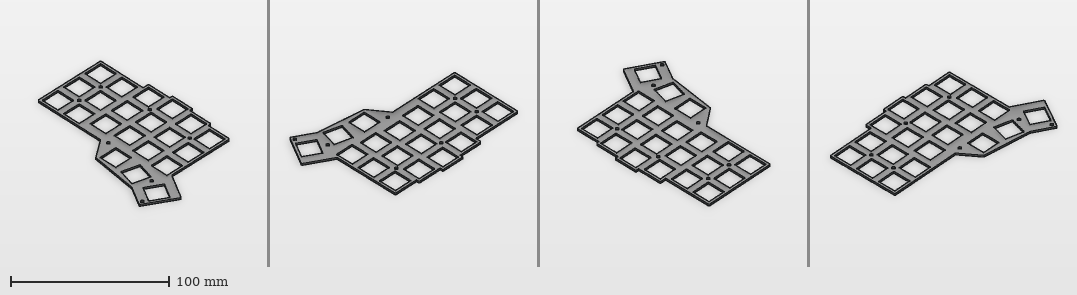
import cadquery as cq
import math

thickness = 1.6
key_pitch = 19.0
rows = 3
opening = 14.0
rim = 2.0
half_cell = opening / 2 + rim

stagger = 2.4
column_rise = [0, 0, 2 * stagger, 3 * stagger, 2 * stagger, stagger]

screw_hole_diameter = 2.3
corner_radius = 0.8

middle_turn = -15
last_turn = -30
thumb_1 = (3.5 * key_pitch, -14.7)
thumb_2 = (thumb_1[0] + 20.9, thumb_1[1] - 2.8)
thumb_3 = (thumb_1[0] + 43.0, thumb_1[1] - 6.5)
thumb_turns = [(thumb_1, 0), (thumb_2, middle_turn), (thumb_3, last_turn)]
half_long_key = half_cell + key_pitch / 4


def on_last_thumb_key(across, along):
    """Plate position of a point given in the turned axes of the last thumb key."""
    turn = math.radians(last_turn)
    return (
        thumb_3[0] + across * math.cos(turn) - along * math.sin(turn),
        thumb_3[1] + across * math.sin(turn) + along * math.cos(turn),
    )


def column_top(column):
    return (rows - 1) * key_pitch + column_rise[column] + half_cell


def column_left(column):
    return column * key_pitch - half_cell


def column_right(column):
    return column * key_pitch + half_cell


thumb_top_left = on_last_thumb_key(-half_cell, half_long_key)
thumb_top_right = on_last_thumb_key(half_cell, half_long_key)
thumb_bottom_right = on_last_thumb_key(half_cell, -half_long_key)
thumb_bottom_left = on_last_thumb_key(-half_cell, -half_long_key)

thumb_slope = math.tan(math.radians(last_turn))
inner_corner = (
    column_right(5),
    thumb_top_left[1] + thumb_slope * (column_right(5) - thumb_top_left[0]),
)

lower_left = (column_left(0), -half_cell)
outer_top_left = (column_left(0), column_top(0))
third_top_left = (column_left(2), column_top(2))
fifth_top_right = (column_right(4), column_top(4))
sixth_top_right = (column_right(5), column_top(5))

outline = [
    lower_left,
    outer_top_left,
    (column_left(2), column_top(1)),
    third_top_left,
    (column_left(3), column_top(2)),
    (column_left(3), column_top(3)),
    (column_right(3), column_top(3)),
    (column_right(3), column_top(4)),
    fifth_top_right,
    (column_right(4), column_top(5)),
    sixth_top_right,
    inner_corner,
    thumb_top_right,
    thumb_bottom_right,
    thumb_bottom_left,
    (thumb_1[0] - half_cell, thumb_1[1] - half_cell),
    (column_right(2), -half_cell),
]
rounded_corners = [
    lower_left,
    outer_top_left,
    third_top_left,
    fifth_top_right,
    sixth_top_right,
    thumb_top_right,
    thumb_bottom_right,
]

plate = cq.Workplane("XY").polyline(outline).close().extrude(thickness)
for x, y in rounded_corners:
    corner_edge = cq.selectors.NearestToPointSelector((x, y, thickness / 2))
    plate = plate.edges("|Z").edges(corner_edge).fillet(corner_radius)

column_keys = [
    (column * key_pitch, row * key_pitch + rise)
    for column, rise in enumerate(column_rise)
    for row in range(rows)
]
plate = plate.cut(
    cq.Workplane("XY").pushPoints(column_keys).rect(opening, opening).extrude(thickness)
)
for center, turn in thumb_turns:
    switch = cq.Workplane("XY").rect(opening, opening).extrude(thickness)
    plate = plate.cut(switch.rotate((0, 0, 0), (0, 0, 1), turn).translate((*center, 0)))


def between_keys(column, row):
    """Middle of the four keys around the gap right of a column and above a row."""
    rise = (column_rise[column] + column_rise[column + 1]) / 2
    return ((column + 0.5) * key_pitch, (row + 0.5) * key_pitch + rise)


left_thumb_hole = (thumb_1[0] - 13.8, thumb_1[1] + 7.2)
right_thumb_hole = (thumb_1[0] + 32.5, thumb_1[1] - 0.5)
corner_hole_inset = 2.7
screw_holes = [
    between_keys(0, 0),
    between_keys(0, 1),
    between_keys(2, 1),
    between_keys(4, 1),
    left_thumb_hole,
    right_thumb_hole,
    on_last_thumb_key(half_cell - corner_hole_inset, corner_hole_inset - half_long_key),
]
plate = plate.cut(
    cq.Workplane("XY").pushPoints(screw_holes).circle(screw_hole_diameter / 2).extrude(thickness)
)

result = plate